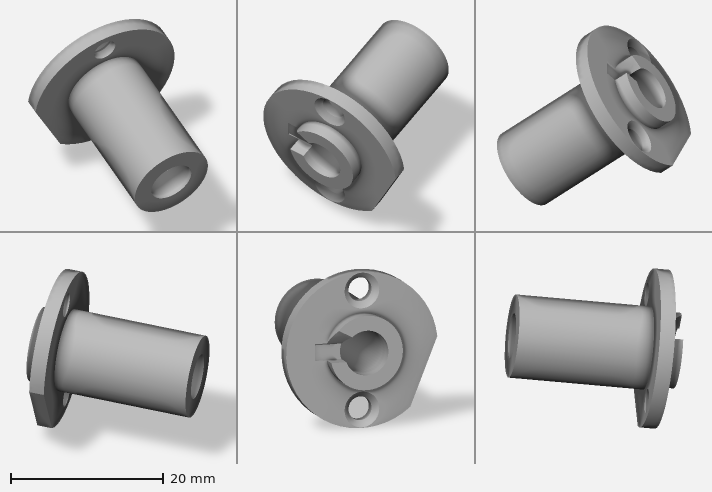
import cadquery as cq

total_length = 22.0
boss_length = 2.0
flange_thickness = 2.0
boss_diameter = 10.0
flange_diameter = 21.0
tube_diameter = 11.0
bore_diameter = 6.0

screw_offset = 8.0
screw_hole_diameter = 3.2
countersink_diameter = 4.8
countersink_angle = 90.0

flat_distance = 9.25
flat_tilt = 22.0

keyway_width = 2.1
keyway_reach = 6.5
keyway_recess = 0.13
ramp_twist = 28.0

flange_back = boss_length + flange_thickness
keyway_depth = boss_length + keyway_recess


def disc(start, end, diameter):
    """Solid cylinder on the X axis between two x positions."""
    return cq.Workplane("YZ", origin=(start, 0, 0)).circle(diameter / 2).extrude(end - start)


def keyway_block(height):
    """Box from the part axis to the keyway end, rising from the lower keyway wall."""
    return cq.Workplane("XY").box(keyway_depth, keyway_reach, height, centered=False).translate(
        (0, 0, -keyway_width / 2)
    )


def rim_flat_cutter():
    """Block that covers everything outside the rim flat."""
    block = cq.Workplane("XY").box(flange_thickness, flange_diameter, flange_diameter)
    block = block.translate((boss_length + flange_thickness / 2, -flat_distance - flange_diameter / 2, 0))
    return block.rotate((0, 0, 0), (1, 0, 0), flat_tilt)


def keyway_cutter():
    """Straight keyway joined to the space swept below its turning upper wall."""
    floor = cq.Plane(origin=(keyway_depth, 0, 0), xDir=(0, 0, 1), normal=(-1, 0, 0))
    below_ramp = (
        cq.Workplane(floor)
        .moveTo(keyway_width / 2 - flange_diameter / 2, 0)
        .rect(flange_diameter, 2 * flange_diameter)
        .twistExtrude(keyway_depth, -ramp_twist)
    )
    ramp = below_ramp.intersect(keyway_block(flange_diameter / 2))
    return keyway_block(keyway_width).union(ramp)


body = (
    disc(0, boss_length, boss_diameter)
    .union(disc(boss_length, flange_back, flange_diameter))
    .union(disc(flange_back, total_length, tube_diameter))
    .cut(disc(0, total_length, bore_diameter))
    .cut(rim_flat_cutter())
    .cut(keyway_cutter())
)

flange_face = cq.Plane(origin=(boss_length, 0, 0), xDir=(0, 1, 0), normal=(-1, 0, 0))
result = (
    body.copyWorkplane(cq.Workplane(flange_face))
    .pushPoints([(0, screw_offset), (0, -screw_offset)])
    .cskHole(screw_hole_diameter, countersink_diameter, countersink_angle, depth=flange_thickness)
)